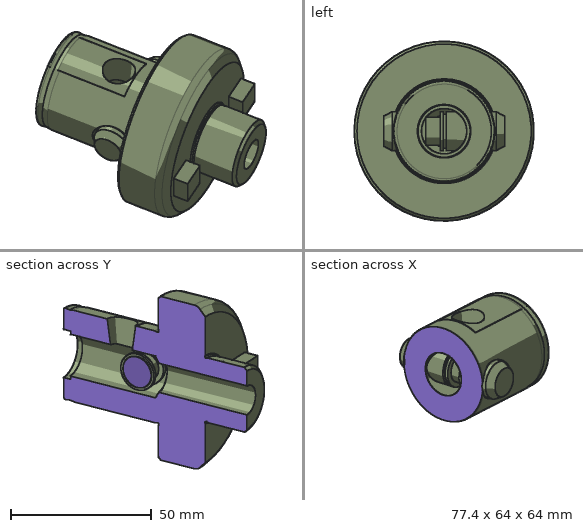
import cadquery as cq
import math


flange_radius = 64.0 / 2
flange_front = 39.95
flange_back = 59.8
flange_front_chamfer = 1.0
bevel_start = 57.5
bevel_angle = 47.0
bevel_blend_radius = 3.3

shank_radius = 36.0 / 2
nose_round = 1.1
nose_radius = 35.85 / 2
waist_place = 2.9
waist_radius = 17.65
shank_start = 4.95
shank_relief_length = 1.5

spigot_radius = 12.7
spigot_end = 77.4
spigot_chamfer = 1.15
spigot_relief_length = 1.15

relief_depth = 0.3
undercut_radius = 0.55
undercut_face_depth = 0.15
undercut_face_height = 0.9

bore_radius = 8.05
bore_depth = 38.7
drill_point_angle = 118.0
through_radius = 5.6
counterbore_radius = 9.3
counterbore_depth = 3.0
counterbore_chamfer = 0.2

recess_width = 17.0
recess_floor_radius = 17.9
taper_hole_place = 24.5
taper_hole_top_radius = 5.9
taper_hole_bore_radius = 4.5

pin_place = 31.05
pin_radius = 7.0
pin_half_length = 21.5
pin_tip_radius = 5.35
pin_cone_length = 3.0
groove_radius = 6.0
groove_start = -0.8
groove_width = 1.0
collar_width = 1.15
neck_radius = 5.0
neck_end = 6.5
countersink_start = 16.3
countersink_slope = math.tan(math.radians(30))

key_side = 9.6
key_height = 5.6
key_center = 21.4


def revolve_about_x(profile):
    return profile.close().revolve(360, (0, 0, 0), (1, 0, 0))


def undercut_points(corner_x, floor_radius, outward):
    """Floor point, arc middle, deepest point and face point of a corner undercut.

    outward is the X direction from the flange face toward the shank or spigot.
    """
    deepest_x = corner_x - outward * undercut_face_depth
    center_x = deepest_x + outward * undercut_radius
    center_radius = floor_radius + undercut_radius
    reach = undercut_radius * math.sqrt(0.5)
    return (
        (center_x, floor_radius),
        (center_x - outward * reach, center_radius - reach),
        (deepest_x, center_radius),
        (corner_x, floor_radius + undercut_face_height),
    )


def make_turned_blank():
    bevel = math.radians(bevel_angle)
    bevel_start_radius = flange_radius - bevel_blend_radius * (1 - math.cos(bevel))
    bevel_end_radius = bevel_start_radius - (flange_back - bevel_start) * math.tan(bevel)
    blend_start = bevel_start - bevel_blend_radius * math.sin(bevel)
    blend_middle = (
        blend_start + bevel_blend_radius * math.sin(bevel / 2),
        flange_radius - bevel_blend_radius * (1 - math.cos(bevel / 2)),
    )

    shank_floor, shank_arc, shank_deepest, shank_face = undercut_points(
        flange_front, shank_radius - relief_depth, -1
    )
    spigot_floor, spigot_arc, spigot_deepest, spigot_face = undercut_points(
        flange_back, spigot_radius - relief_depth, 1
    )

    nose_reach = nose_round * math.sqrt(0.5)
    nose_middle = (nose_round - nose_reach, nose_radius - nose_round + nose_reach)

    profile = (
        cq.Workplane("XY")
        .moveTo(0, 0)
        .lineTo(0, nose_radius - nose_round)
        .threePointArc(nose_middle, (nose_round, nose_radius))
        .lineTo(waist_place, waist_radius)
        .lineTo(shank_start, shank_radius)
        .lineTo(flange_front - shank_relief_length, shank_radius)
        .lineTo(*shank_floor)
        .threePointArc(shank_arc, shank_deepest)
        .lineTo(*shank_face)
        .lineTo(flange_front, flange_radius - flange_front_chamfer)
        .lineTo(flange_front + flange_front_chamfer, flange_radius)
        .lineTo(blend_start, flange_radius)
        .threePointArc(blend_middle, (bevel_start, bevel_start_radius))
        .lineTo(flange_back, bevel_end_radius)
        .lineTo(*spigot_face)
        .lineTo(*spigot_deepest)
        .threePointArc(spigot_arc, spigot_floor)
        .lineTo(flange_back + spigot_relief_length, spigot_radius)
        .lineTo(spigot_end - spigot_chamfer, spigot_radius)
        .lineTo(spigot_end, spigot_radius - spigot_chamfer)
        .lineTo(spigot_end, 0)
    )
    return revolve_about_x(profile)


def make_bore_cutter():
    point_length = (bore_radius - through_radius) / math.tan(math.radians(drill_point_angle / 2))
    profile = (
        cq.Workplane("XY")
        .moveTo(0, 0)
        .lineTo(0, counterbore_radius + counterbore_chamfer)
        .lineTo(counterbore_chamfer, counterbore_radius)
        .lineTo(counterbore_depth, counterbore_radius)
        .lineTo(counterbore_depth, bore_radius)
        .lineTo(bore_depth, bore_radius)
        .lineTo(bore_depth + point_length, through_radius)
        .lineTo(spigot_end, through_radius)
        .lineTo(spigot_end, 0)
    )
    return revolve_about_x(profile)


def make_recess_cutter():
    """Ring segment above the recess floor, from the nose to the pin axis."""
    ring = (
        cq.Workplane("YZ")
        .circle(2 * shank_radius)
        .circle(recess_floor_radius)
        .extrude(pin_place)
    )
    strip = cq.Workplane("XY").box(
        pin_place, recess_width, 2 * shank_radius, centered=(False, True, False)
    )
    return ring.intersect(strip)


def make_taper_hole_cutter():
    """Cone along Z from the shank axis up through the recess floor."""
    slope = (taper_hole_top_radius - taper_hole_bore_radius) / (recess_floor_radius - bore_radius)
    axis_radius = taper_hole_bore_radius - bore_radius * slope
    height = 2 * shank_radius
    cone = cq.Solid.makeCone(axis_radius, axis_radius + height * slope, height)
    return cone.translate(cq.Vector(taper_hole_place, 0, 0))


def make_pin_hole_cutter():
    """Hole along Y with a countersink at both ends that stops short of the flange."""
    mouth = shank_radius + pin_radius
    mouth_radius = pin_radius + (mouth - countersink_start) * countersink_slope
    profile = (
        cq.Workplane("XY")
        .moveTo(0, -mouth)
        .lineTo(mouth_radius, -mouth)
        .lineTo(pin_radius, -countersink_start)
        .lineTo(pin_radius, countersink_start)
        .lineTo(mouth_radius, mouth)
        .lineTo(0, mouth)
        .close()
    )
    cutter = profile.revolve(360, (0, 0, 0), (0, 1, 0)).translate((pin_place, 0, 0))
    shank_zone = cq.Workplane("YZ").rect(3 * mouth, 3 * mouth).extrude(flange_front)
    return cutter.intersect(shank_zone)


def make_housing():
    return (
        make_turned_blank()
        .cut(make_bore_cutter())
        .cut(make_recess_cutter())
        .cut(cq.Workplane(make_taper_hole_cutter()))
        .cut(make_pin_hole_cutter())
    )


def make_pin():
    cone_start = pin_half_length - pin_cone_length
    groove_end = groove_start + groove_width
    collar_end = groove_end + collar_width
    profile = (
        cq.Workplane("XY")
        .moveTo(0, -pin_half_length)
        .lineTo(pin_tip_radius, -pin_half_length)
        .lineTo(pin_radius, -cone_start)
        .lineTo(pin_radius, groove_start)
        .lineTo(groove_radius, groove_start)
        .lineTo(groove_radius, groove_end)
        .lineTo(pin_radius, groove_end)
        .lineTo(pin_radius, collar_end)
        .lineTo(neck_radius, collar_end)
        .lineTo(neck_radius, neck_end)
        .lineTo(pin_radius, neck_end)
        .lineTo(pin_radius, cone_start)
        .lineTo(pin_tip_radius, pin_half_length)
        .lineTo(0, pin_half_length)
        .close()
    )
    return profile.revolve(360, (0, 0, 0), (0, 1, 0)).translate((pin_place, 0, 0))


def make_key(y_center):
    return (
        cq.Workplane("XY")
        .box(key_height, key_side, key_side, centered=(False, True, True))
        .translate((flange_back, y_center, 0))
    )


housing = make_housing()
pin = make_pin()
keys = [make_key(side * key_center) for side in (-1, 1)]

result = cq.Compound.makeCompound([housing.val(), pin.val(), *[key.val() for key in keys]])